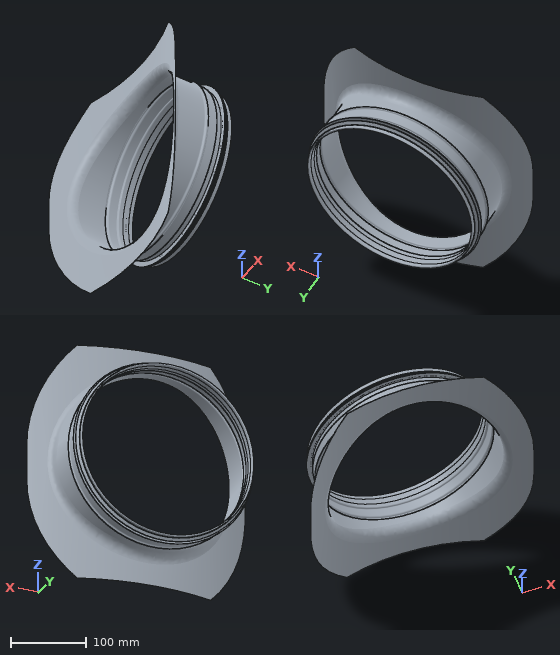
import cadquery as cq
import math

SHEET = 0.5
SPIGOT_RADIUS = 248.8 / 2
GROOVE_RADIUS = 244.0 / 2
BEAD_RADIUS = 253.5 / 2

HEM_END = -6.5
HEM_OUTER_ROUND = 0.7
HEM_INNER_ROUND = 1.5
STEP_START = -21.3
STEP_END = -24.0
BEAD_CENTRE = -39.2
BEAD_HALF_WIDTH = 3.7
SPIGOT_JOIN = -45.5

SADDLE_INNER_RADIUS = 313.0
COLLAR_DEPTH = 110.0
FLANGE_HEIGHT = 338.0
FLANGE_WIDTH = 314.0
FLANGE_TOP_WIDTH = 192.5
SIDE_STRAIGHT = 50.7
INNER_FILLET = 14.2
SADDLE_AXIS_Y = -COLLAR_DEPTH - math.sqrt(SADDLE_INNER_RADIUS**2 - (FLANGE_WIDTH / 2) ** 2)

SEAL_RADIUS = 246.7 / 2
SEAL_START = HEM_END
FIRST_LIP_START = -7.5
SEAL_END = -15.5
FIRST_LIP_RADIUS = 255.5 / 2
FIRST_LIP_TIP = -11.0
SECOND_LIP_RADIUS = 259.2 / 2
SECOND_LIP_START = -14.0
LIP_THICKNESS = 1.0


def bend_points(start, end, inset):
    """Points along two equal tangent arcs forming an S, offset inwards by inset.

    start and end are (y, radius) points of the outer wall surface. Returned are the first
    arc's middle, the point where the arcs meet, the second arc's middle and its end.
    """
    (y0, r0), (y1, r1) = start, end
    along = math.copysign(1, y1 - y0)
    rise = math.copysign(1, r1 - r0)
    length, height = abs(y1 - y0), abs(r1 - r0)
    bend_radius = (length**2 + height**2) / (4 * height)
    bend_angle = 2 * math.atan2(height, length)
    first_radius = bend_radius + rise * inset
    second_radius = bend_radius - rise * inset

    def on_first(angle):
        radial = r0 + rise * (bend_radius - first_radius * math.cos(angle))
        return radial, y0 + along * first_radius * math.sin(angle)

    def on_second(angle):
        radial = r1 - rise * (bend_radius - second_radius * math.cos(angle))
        return radial, y1 - along * second_radius * math.sin(angle)

    half_angle = bend_angle / 2
    return on_first(half_angle), on_first(bend_angle), on_second(half_angle), on_second(0)


def revolve_about_y(sketch):
    return sketch.close().revolve(360, (0, 0, 0), (0, 1, 0))


def spigot_volume(inset):
    """Solid filled up to the formed sheet below the hem, offset inwards by inset."""
    wall = SPIGOT_RADIUS - inset
    floor = GROOVE_RADIUS - inset
    bead_top = BEAD_CENTRE + BEAD_HALF_WIDTH
    bead_bottom = BEAD_CENTRE - BEAD_HALF_WIDTH
    crest = (BEAD_CENTRE, BEAD_RADIUS)
    step = bend_points((STEP_START, GROOVE_RADIUS), (STEP_END, SPIGOT_RADIUS), inset)
    rise = bend_points((bead_top, SPIGOT_RADIUS), crest, inset)
    fall = bend_points(crest, (bead_bottom, SPIGOT_RADIUS), inset)
    sketch = (
        cq.Workplane("XY")
        .moveTo(0, HEM_END)
        .lineTo(floor, HEM_END)
        .lineTo(floor, STEP_START)
        .threePointArc(step[0], step[1])
        .threePointArc(step[2], step[3])
        .lineTo(wall, bead_top)
        .threePointArc(rise[0], rise[1])
        .threePointArc(rise[3], fall[1])
        .threePointArc(fall[2], fall[3])
        .lineTo(wall, SPIGOT_JOIN)
        .lineTo(0, SPIGOT_JOIN)
    )
    return revolve_about_y(sketch)


def make_hem():
    """Doubled rim band, rounded at both edges of its free end."""
    band = (
        cq.Workplane("XZ")
        .circle(SPIGOT_RADIUS)
        .circle(GROOVE_RADIUS - SHEET)
        .extrude(-HEM_END)
    )
    outer_edge = cq.selectors.RadiusNthSelector(-1)
    inner_edge = cq.selectors.RadiusNthSelector(0)
    band = band.faces(">Y").edges(outer_edge).fillet(HEM_OUTER_ROUND)
    return band.faces(">Y").edges(inner_edge).fillet(HEM_INNER_ROUND)


def saddle_volume(inset):
    """Main cylinder about Z with the plain branch cylinder blended into it."""
    main = (
        cq.Workplane("XY")
        .center(0, SADDLE_AXIS_Y)
        .circle(SADDLE_INNER_RADIUS + SHEET - inset)
        .extrude(FLANGE_HEIGHT, both=True)
    )
    branch = (
        cq.Workplane("XZ", origin=(0, SPIGOT_JOIN, 0))
        .circle(SPIGOT_RADIUS - inset)
        .extrude(SPIGOT_JOIN - SADDLE_AXIS_Y)
    )
    junction_box = cq.selectors.BoxSelector(
        (-FLANGE_WIDTH / 2, -COLLAR_DEPTH, -FLANGE_HEIGHT / 2),
        (FLANGE_WIDTH / 2, SPIGOT_JOIN - SHEET, FLANGE_HEIGHT / 2),
        boundingbox=True,
    )
    fillet_radius = INNER_FILLET - SHEET + inset
    return main.union(branch).edges(junction_box).fillet(fillet_radius)


def flange_outline():
    """Prism along Y: straight top and bottom, sides straight then arced inwards."""
    half_width, half_height = FLANGE_WIDTH / 2, FLANGE_HEIGHT / 2
    half_top, half_straight = FLANGE_TOP_WIDTH / 2, SIDE_STRAIGHT / 2
    inset = half_width - half_top
    rise = half_height - half_straight
    arc_radius = (inset**2 + rise**2) / (2 * inset)
    half_angle = math.atan2(inset, rise)
    middle_x = half_width - arc_radius * (1 - math.cos(half_angle))
    middle_z = half_straight + arc_radius * math.sin(half_angle)
    return (
        cq.Workplane("XZ")
        .moveTo(half_width, -half_straight)
        .lineTo(half_width, half_straight)
        .threePointArc((middle_x, middle_z), (half_top, half_height))
        .lineTo(-half_top, half_height)
        .threePointArc((-middle_x, middle_z), (-half_width, half_straight))
        .lineTo(-half_width, -half_straight)
        .threePointArc((-middle_x, -middle_z), (-half_top, -half_height))
        .lineTo(half_top, -half_height)
        .threePointArc((middle_x, -middle_z), (half_width, -half_straight))
        .close()
        .extrude(COLLAR_DEPTH)
    )


def make_collar():
    outside = saddle_volume(0).intersect(flange_outline())
    saddle = outside.cut(saddle_volume(SHEET))
    spigot = spigot_volume(0).cut(spigot_volume(SHEET))
    return saddle.union(spigot).union(make_hem()).clean()


def make_seal():
    """Ring seated on the groove floor, with a slanted lip and a straight lip."""
    profile = [
        (GROOVE_RADIUS, SEAL_START),
        (SEAL_RADIUS, SEAL_START),
        (SEAL_RADIUS, FIRST_LIP_START),
        (FIRST_LIP_RADIUS, FIRST_LIP_TIP + LIP_THICKNESS),
        (FIRST_LIP_RADIUS, FIRST_LIP_TIP),
        (SEAL_RADIUS, FIRST_LIP_TIP + LIP_THICKNESS),
        (SEAL_RADIUS, SECOND_LIP_START),
        (SECOND_LIP_RADIUS, SECOND_LIP_START),
        (SECOND_LIP_RADIUS, SECOND_LIP_START - LIP_THICKNESS),
        (SEAL_RADIUS, SEAL_END),
        (GROOVE_RADIUS, SEAL_END),
    ]
    return revolve_about_y(cq.Workplane("XY").polyline(profile))


collar = make_collar()
seal = make_seal()
result = cq.Compound.makeCompound([collar.val(), seal.val()])